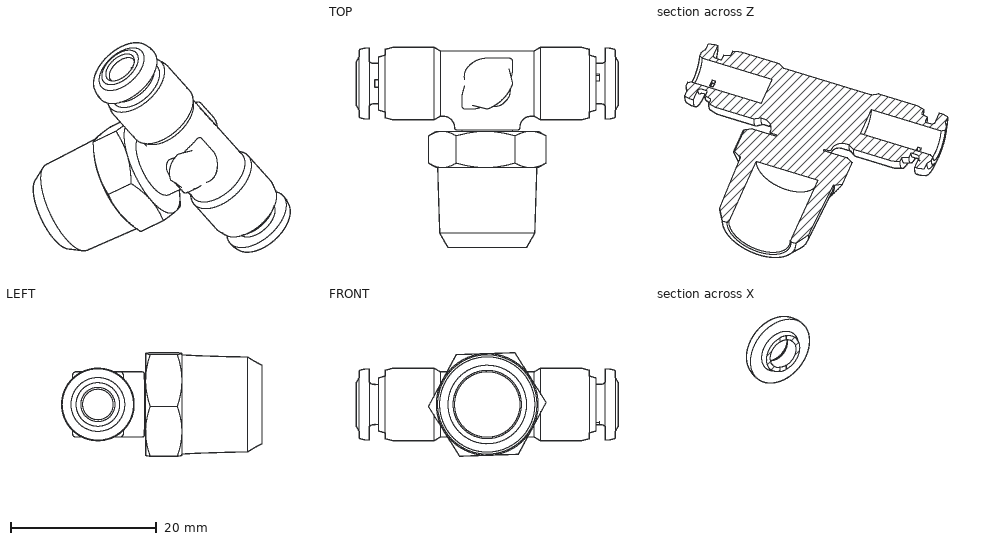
import cadquery as cq
import math


TEE_R = 4.5
BRANCH_END = 6.4
BRANCH_EDGE_FILLET = 0.35
CROTCH_FILLET = 1.5
PAD_HALF = 3.5
PAD_FILLET = 0.5
PAD_TIP_ARC_R = 3.03
PAD_TIP_START = 2.0

SOCKET_CONE_START = 6.45
SOCKET_START = 7.3
SOCKET_TAPER = 12.95
SOCKET_END = 14.03
SOCKET_R = 5.0
SOCKET_END_R = 4.72
CAP_TAPER = 14.13
CAP_END = 14.95
CAP_R = 3.9
CAP_END_R = 3.66

SLEEVE_R = 2.8
SLEEVE_FLARE_START = 15.65
SLEEVE_FLARE_R = 3.05
FLANGE_BACK = 16.2
FLANGE_TAPER = 16.75
FLANGE_FACE = 17.6
FLANGE_R = 4.9
FLANGE_FACE_R = 4.7
FLANGE_EDGE_FILLET = 0.22
NOSE_END = 18.0
NOSE_BASE_R = 3.7
NOSE_R = 3.0
TUBE_BORE_R = 2.1
TUBE_MOUTH_R = 2.35
TUBE_MOUTH_DEPTH = 0.5
SLOT_WIDTH = 1.0
SLOT_END = 15.45
LEFT_SLOT_ANGLE = 0
RIGHT_SLOT_ANGLE = -18

COLLAR_R = 3.5
HEX_START = 6.55
HEX_LENGTH = 5.0
HEX_FLATS = 14.0
HEX_TURN = 1.9
HEX_CHAMFER_ANGLE = 30
THREAD_LENGTH = 11.0
THREAD_TIP_LENGTH = 2.0
THREAD_ROOT_R = 6.83
THREAD_TAPER = 1 / 32
THREAD_TIP_R = 5.4
THREAD_BORE_R = 4.5
THREAD_MOUTH_R = 4.7

HEX_END = HEX_START + HEX_LENGTH
THREAD_END = HEX_END + THREAD_LENGTH


def turned_about_x(points):
    """Solid of revolution from (x, radius) points."""
    return cq.Workplane("XY").polyline(points).close().revolve(360, (0, 0), (1, 0))


def turned_about_branch(points):
    """Solid of revolution from (radius, distance along the branch) points."""
    outline = [(radius, -distance) for radius, distance in points]
    return cq.Workplane("XY").polyline(outline).close().revolve(360, (0, 0), (0, 1))


def make_pad():
    """Leaf-shaped pad: two rounded corners and two square corners, through the tee."""
    h = PAD_HALF
    k = h * math.sqrt(0.5)
    pad = (
        cq.Workplane("XY")
        .workplane(offset=-TEE_R)
        .moveTo(-h, 0)
        .threePointArc((-k, k), (0, h))
        .lineTo(h, h)
        .lineTo(h, 0)
        .threePointArc((k, -k), (0, -h))
        .lineTo(-h, -h)
        .close()
        .extrude(2 * TEE_R)
    )
    for x, y in ((h, h), (-h, -h)):
        pad = pad.edges(cq.selectors.NearestToPointSelector((x, y, 0))).fillet(PAD_FILLET)
    return pad.faces("|Z").edges().fillet(PAD_FILLET)


def make_pad_tips():
    """Flat ends of the pad, which run out to full width beside the rounded -Y corner at +X."""
    h = PAD_HALF
    inner = PAD_HALF - PAD_FILLET
    k = PAD_TIP_ARC_R * math.sqrt(0.5)
    return (
        cq.Workplane("XY")
        .workplane(offset=-TEE_R)
        .moveTo(0, 0)
        .lineTo(-PAD_TIP_START, -inner)
        .lineTo(0, -h)
        .threePointArc((k, -k), (h, 0))
        .lineTo(inner, PAD_TIP_START)
        .close()
        .extrude(2 * TEE_R)
    )


def make_tee():
    run = (
        cq.Workplane("YZ")
        .workplane(offset=-SOCKET_START)
        .circle(TEE_R)
        .extrude(2 * SOCKET_START)
    )
    branch = (
        cq.Workplane("XZ")
        .circle(TEE_R)
        .extrude(BRANCH_END)
        .faces("<Y")
        .edges()
        .fillet(BRANCH_EDGE_FILLET)
    )
    tee = run.union(branch).union(make_pad())
    return tee.edges("%ELLIPSE").fillet(CROTCH_FILLET).union(make_pad_tips())


def make_socket(slot_angle):
    """Tube socket and slotted release sleeve on the +X side."""
    socket = turned_about_x([
        (SOCKET_CONE_START, 0),
        (SOCKET_CONE_START, TEE_R),
        (SOCKET_START, SOCKET_R),
        (SOCKET_TAPER, SOCKET_R),
        (SOCKET_END, SOCKET_END_R),
        (SOCKET_END, CAP_R),
        (CAP_TAPER, CAP_R),
        (CAP_END, CAP_END_R),
        (CAP_END, 0),
    ])
    flare_span = FLANGE_BACK - SLEEVE_FLARE_START
    sleeve = (
        cq.Workplane("XY")
        .moveTo(CAP_END, 0)
        .lineTo(CAP_END, SLEEVE_R)
        .lineTo(SLEEVE_FLARE_START, SLEEVE_R)
        .tangentArcPoint((flare_span, SLEEVE_FLARE_R - SLEEVE_R))
        .lineTo(FLANGE_BACK, FLANGE_R)
        .lineTo(FLANGE_TAPER, FLANGE_R)
        .lineTo(FLANGE_FACE, FLANGE_FACE_R)
        .lineTo(FLANGE_FACE, NOSE_BASE_R)
        .lineTo(NOSE_END, NOSE_R)
        .lineTo(NOSE_END, 0)
        .close()
        .revolve(360, (0, 0), (1, 0))
    )
    flange_face = sleeve.faces(cq.selectors.DirectionNthSelector(cq.Vector(1, 0, 0), -2))
    flange_rim = cq.selectors.RadiusNthSelector(-1)
    sleeve = flange_face.edges("%CIRCLE").edges(flange_rim).fillet(FLANGE_EDGE_FILLET)
    slot_length = SLOT_END - CAP_END
    slot = (
        cq.Workplane("XY")
        .box(slot_length, SLOT_WIDTH, 2 * FLANGE_R)
        .translate((CAP_END + slot_length / 2, 0, 0))
        .rotate((0, 0, 0), (1, 0, 0), slot_angle)
    )
    bore = turned_about_x([
        (SOCKET_START, 0),
        (SOCKET_START, TUBE_BORE_R),
        (NOSE_END - TUBE_MOUTH_DEPTH, TUBE_BORE_R),
        (NOSE_END, TUBE_MOUTH_R),
        (NOSE_END, 0),
    ])
    return socket.union(sleeve.cut(slot)).cut(bore)


def make_hex():
    corner_r = HEX_FLATS / 2 / math.cos(math.pi / 6)
    flat_r = HEX_FLATS / 2
    drop = (corner_r - flat_r) * math.tan(math.radians(HEX_CHAMFER_ANGLE))
    prism = (
        cq.Workplane("XZ")
        .workplane(offset=HEX_START)
        .polygon(6, 2 * corner_r)
        .extrude(HEX_LENGTH)
        .rotate((0, 0, 0), (0, 1, 0), -HEX_TURN)
    )
    envelope = turned_about_branch([
        (0, HEX_START),
        (flat_r, HEX_START),
        (corner_r, HEX_START + drop),
        (corner_r, HEX_END - drop),
        (flat_r, HEX_END),
        (0, HEX_END),
    ])
    return prism.intersect(envelope)


def make_adapter():
    tip_start = THREAD_END - THREAD_TIP_LENGTH
    tip_start_r = THREAD_ROOT_R - (tip_start - HEX_END) * THREAD_TAPER
    collar = turned_about_branch([
        (0, BRANCH_END),
        (COLLAR_R, BRANCH_END),
        (COLLAR_R, HEX_START),
        (0, HEX_START),
    ])
    thread = turned_about_branch([
        (0, HEX_END),
        (THREAD_ROOT_R, HEX_END),
        (tip_start_r, tip_start),
        (THREAD_TIP_R, THREAD_END),
        (0, THREAD_END),
    ])
    mouth_depth = THREAD_MOUTH_R - THREAD_BORE_R
    bore = turned_about_branch([
        (0, HEX_END),
        (THREAD_BORE_R, HEX_END),
        (THREAD_BORE_R, THREAD_END - mouth_depth),
        (THREAD_MOUTH_R, THREAD_END),
        (0, THREAD_END),
    ])
    return collar.union(make_hex()).union(thread).cut(bore)


left_socket = make_socket(LEFT_SLOT_ANGLE).mirror("YZ")
right_socket = make_socket(RIGHT_SLOT_ANGLE)
result = make_tee().union(left_socket).union(right_socket).union(make_adapter())